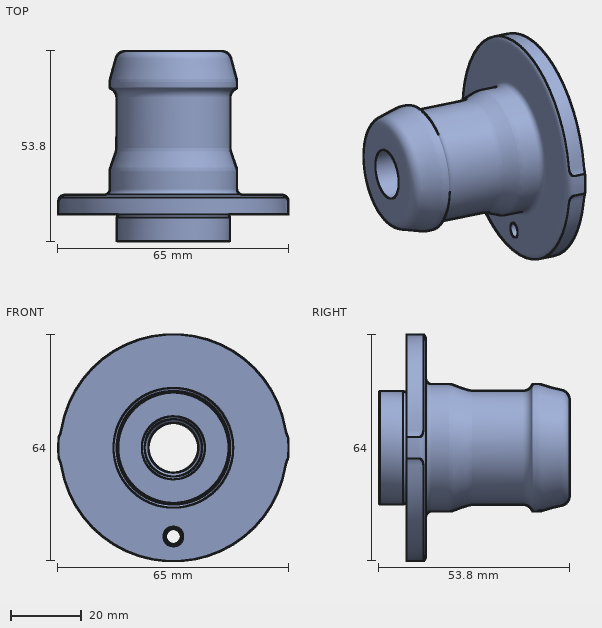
import cadquery as cq
import math

boss_length = 7.7
flange_thickness = 5.5
total_length = 53.8
back_y = total_length - boss_length

tab_radius = 32.5
flange_radius = 32.0
tab_half_width = 3.0
tab_root_half_width = 5.2
flange_edge_radius = 2.0

boss_radius = 16.015
boss_chamfer = 0.45
boss_chamfer_length = 0.25
groove_start_y = -1.0
groove_depth = 0.25
groove_bottom_y = -0.3
groove_mouth_radius = 16.9
groove_inner_radius = 16.45

shoulder_radius = 18.0
neck_radius = 16.1
root_fillet = 1.5
shoulder_end_y = 12.6
neck_start_y = 18.05
neck_end_y = 32.95
neck_blend_radius = 2.7
lip_round = 0.5
barb_taper_y = 37.6
barb_taper_angle = 15.0
corner_blend_radius = 3.0

bore_front_radius = 16.2 / 2
bore_back_radius = 14.0 / 2
bore_entry_round = 0.81
bore_step_y = neck_start_y
bore_step_half_angle = 30.0
pin_hole_diameter = 4.2
pin_countersink_diameter = 5.5
pin_hole_z = -25.0


def revolve_about_y(profile):
    return profile.close().revolve(360, (0, 0, 0), (0, 1, 0))


def make_flange():
    disk = cq.Workplane("XZ").circle(tab_radius).extrude(-flange_thickness)
    disk = disk.faces(">Y").edges().fillet(flange_edge_radius)

    core = cq.Workplane("XZ").circle(flange_radius).extrude(-flange_thickness)
    root_x = math.sqrt(flange_radius**2 - tab_root_half_width**2)
    tip_x = math.sqrt(tab_radius**2 - tab_half_width**2)
    flank_x, flank_z = flank_midpoint(root_x, tip_x)
    for side in (-1, 1):
        tab = (
            cq.Workplane("XZ")
            .moveTo(side * root_x, tab_root_half_width)
            .threePointArc((side * flank_x, flank_z), (side * tip_x, tab_half_width))
            .threePointArc((side * tab_radius, 0), (side * tip_x, -tab_half_width))
            .threePointArc((side * flank_x, -flank_z), (side * root_x, -tab_root_half_width))
            .close()
            .extrude(-flange_thickness)
        )
        core = core.union(tab)
    return disk.intersect(core)


def flank_midpoint(root_x, tip_x):
    """Middle of the arc from the tab root to the tab tip, tangent to the flange circle at the root."""
    normal_x = root_x / flange_radius
    normal_z = tab_root_half_width / flange_radius
    chord_x = tip_x - root_x
    chord_z = tab_half_width - tab_root_half_width
    flank_radius = (chord_x**2 + chord_z**2) / (2 * (chord_x * normal_x + chord_z * normal_z))
    center_x = root_x + flank_radius * normal_x
    center_z = tab_root_half_width + flank_radius * normal_z
    middle_x = root_x + chord_x / 2 - center_x
    middle_z = tab_root_half_width + chord_z / 2 - center_z
    stretch = flank_radius / math.hypot(middle_x, middle_z)
    return center_x + middle_x * stretch, center_z + middle_z * stretch


def make_boss():
    boss = cq.Workplane("XZ").circle(boss_radius).extrude(boss_length)
    return boss.faces("<Y").chamfer(boss_chamfer_length, boss_chamfer)


def make_relief_groove():
    bottom_radius = boss_radius - groove_depth
    profile = (
        cq.Workplane("XY")
        .moveTo(boss_radius, groove_start_y)
        .lineTo(bottom_radius, groove_bottom_y)
        .tangentArcPoint((groove_inner_radius, groove_depth), relative=False)
        .lineTo(groove_mouth_radius, 0)
        .lineTo(groove_mouth_radius, groove_start_y)
    )
    return revolve_about_y(profile)


def make_spigot():
    lip_center_r = shoulder_radius - lip_round
    blend_center_r = neck_radius + neck_blend_radius
    center_distance = neck_blend_radius + lip_round
    lip_center_y = neck_end_y + math.sqrt(center_distance**2 - (blend_center_r - lip_center_r) ** 2)
    touch = lip_round / center_distance
    touch_r = lip_center_r + touch * (blend_center_r - lip_center_r)
    touch_y = lip_center_y + touch * (neck_end_y - lip_center_y)
    barb_end_radius = shoulder_radius - (back_y - barb_taper_y) * math.tan(math.radians(barb_taper_angle))

    profile = (
        cq.Workplane("XY")
        .lineTo(shoulder_radius, 0)
        .lineTo(shoulder_radius, shoulder_end_y)
        .lineTo(neck_radius, neck_start_y)
        .lineTo(neck_radius, neck_end_y)
        .tangentArcPoint((touch_r, touch_y), relative=False)
        .tangentArcPoint((shoulder_radius, lip_center_y), relative=False)
        .lineTo(shoulder_radius, barb_taper_y)
        .lineTo(barb_end_radius, back_y)
        .lineTo(0, back_y)
    )
    spigot = revolve_about_y(profile)
    for y in (shoulder_end_y, neck_start_y, barb_taper_y, back_y):
        spigot = spigot.edges(cq.selectors.NearestToPointSelector((0, y, 0))).fillet(corner_blend_radius)
    return spigot


def make_root_fillet():
    outer_radius = shoulder_radius + root_fillet
    fillet_top_y = flange_thickness + root_fillet
    profile = (
        cq.Workplane("XY")
        .moveTo(0, flange_thickness)
        .lineTo(outer_radius, flange_thickness)
        .radiusArc((shoulder_radius, fillet_top_y), root_fillet)
        .lineTo(0, fillet_top_y)
    )
    return revolve_about_y(profile)


def make_bore():
    cone_length = (bore_front_radius - bore_back_radius) / math.tan(math.radians(bore_step_half_angle))
    profile = (
        cq.Workplane("XY")
        .moveTo(0, -boss_length)
        .lineTo(bore_front_radius + bore_entry_round, -boss_length)
        .radiusArc((bore_front_radius, bore_entry_round - boss_length), -bore_entry_round)
        .lineTo(bore_front_radius, bore_step_y)
        .lineTo(bore_back_radius, bore_step_y + cone_length)
        .lineTo(bore_back_radius, back_y)
        .lineTo(0, back_y)
    )
    return revolve_about_y(profile)


def make_pin_hole():
    hole = cq.Workplane("XZ").center(0, pin_hole_z).circle(pin_hole_diameter / 2).extrude(-flange_thickness)
    countersink_depth = (pin_countersink_diameter - pin_hole_diameter) / 2
    countersink = cq.Solid.makeCone(
        pin_countersink_diameter / 2,
        pin_hole_diameter / 2,
        countersink_depth,
        cq.Vector(0, 0, pin_hole_z),
        cq.Vector(0, 1, 0),
    )
    return hole.union(cq.Workplane(countersink))


result = make_flange().union(make_boss()).union(make_spigot()).union(make_root_fillet())
result = result.cut(make_relief_groove()).cut(make_bore()).cut(make_pin_hole())